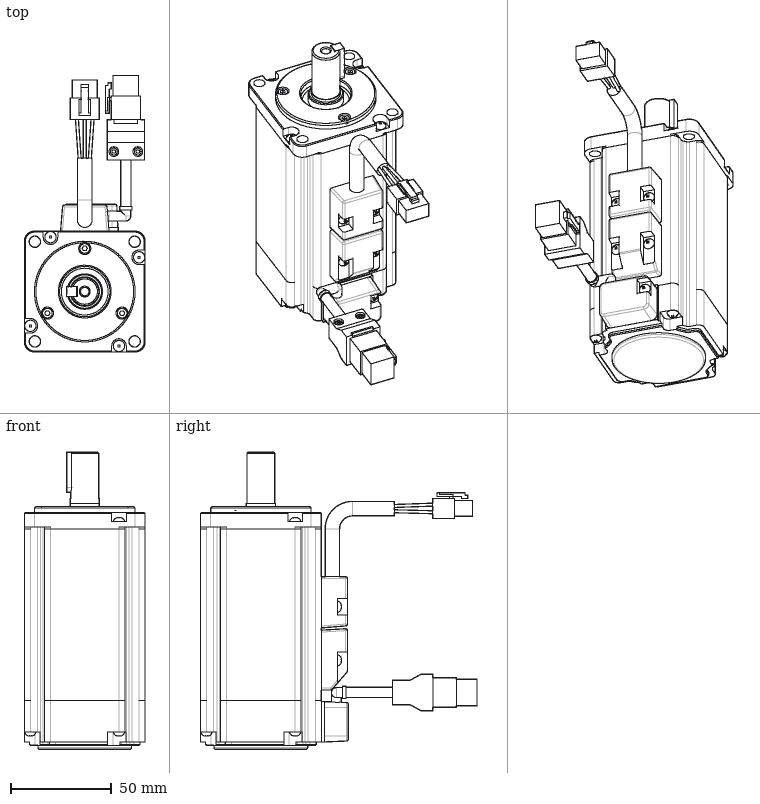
import cadquery as cq
import math

OVERLAP = 0.5

SHAFT_RADIUS = 7.0
SHAFT_LENGTH = 30.0
SHAFT_CHAMFER = 0.7
CENTRE_BORE_RADIUS = 2.1
CENTRE_BORE_MOUTH = 2.7
CENTRE_BORE_DEPTH = 8.0
CENTRE_BORE_TIP = 1.2
KEY_WIDTH = 5.0
KEY_INNER_X = -4.0
KEY_OUTER_X = -9.0
KEY_LENGTH = 20.0
KEYWAY_CLEARANCE = 0.35

FLANGE_SIZE = 60.0
FLANGE_THICKNESS = 7.3
FLANGE_CORNER = 5.0
FLANGE_CHAMFER = 0.5
MOUNT_HOLE_RADIUS = 2.75
MOUNT_HOLE_OFFSET = 24.75
PILOT_RADIUS = 25.0
PILOT_HEIGHT = 3.0
PILOT_CHAMFER = 0.75
PILOT_SCREW_CIRCLE = 21.4
PILOT_SCREW_ANGLES = (90, 210, 330)
PILOT_SCREW_RECESS = 3.0
PILOT_SCREW_HEAD = 2.4
PILOT_SCREW_DEPTH = 2.0
PILOT_HEAD_HEIGHT = 1.5
HEX_SOCKET_ACROSS = 2.6
HEX_SOCKET_DEPTH = 1.2

RECESS_RADIUS = 12.5
RECESS_DEPTH = 4.5
RECESS_MOUTH_CHAMFER = 0.6
RECESS_FLOOR_CHAMFER = 0.9
COLLAR_RADIUS = 8.8
COLLAR_CHAMFER = 0.5
LIP_RADIUS = 7.3
LIP_HEIGHT = 1.5

FRAME_SIZE = 60.03
CAP_SIZE = FLANGE_SIZE
NECK_BOTTOM = -8.2
FRAME_BOTTOM = -93.4
CAP_BOTTOM = -114.0
FACE_HALF_WIDTH = 17.0
NOTCH_WALL = 20.0
NOTCH_DIAGONAL = 42.5
NOTCH_FILLET = 2.2

PLATE_INSET = 2.5
PLATE_BOTTOM = -115.6
PLATE_CHAMFER = 0.5
DISC_RADIUS = 23.3
DISC_BOTTOM = 30.0 - 147.6
DISC_FILLET = 1.0

SCREW_X = 17.0
SCREW_Y = -27.0
SCREW_HEAD_RADIUS = 2.8
SCREW_HEAD_HEIGHT = 2.0
SCREW_SOCKET = 1.0
SCREW_SOCKET_DEPTH = 0.6
FLANGE_POCKET_RADIUS = 3.6
FLANGE_POCKET_DEPTH = 4.5
CAP_POCKET_TOP = -109.0
CAP_POCKET_LEFT = 11.4
CAP_POCKET_INNER_Y = -22.2
CAP_POCKET_CORNER = 2.5

WALL_Y = FLANGE_SIZE / 2
COVER_TOP_Y = 43.0
COVER_BASE_HALF_WIDTH = 12.1
COVER_TOP_HALF_WIDTH = 11.0
COVER_FILLET = 1.0
UPPER_COVER_TOP = -31.8
UPPER_COVER_BOTTOM_OUTER = -56.3
UPPER_COVER_BOTTOM_INNER = -57.4
LOWER_COVER_TOP_OUTER = -57.6
LOWER_COVER_TOP_INNER = -58.4
LOWER_COVER_BOTTOM = -88.2
LOWER_COVER_SLOPE_Z = -79.0
LOWER_COVER_SLOPE_Y = 35.0
COVER_POCKET_FLOOR_Y = 38.0
COVER_POCKET_DEPTH_X = 6.5
COVER_POCKET_HEIGHT = 8.2
UPPER_POCKET_Z = -46.8
LOWER_POCKET_TOP = -69.3
COVER_SCREW_X = 8.4

ENCODER_LEFT = -10.4
ENCODER_RIGHT = 16.5
ENCODER_TOP = -93.8
ENCODER_BOTTOM = CAP_BOTTOM
ENCODER_BASE_Y = 31.7
ENCODER_OUTER_Y = 43.4
ENCODER_TAPER = 2.5
ENCODER_CORNER = 3.0
ENCODER_FILLET = 1.0
ENCODER_BASE_MARGIN = 0.2
ENCODER_POCKET_TOP = -96.0
ENCODER_POCKET_BOTTOM = -104.2
ENCODER_POCKET_FLOOR_Y = 39.3

POWER_CABLE_RADIUS = 3.65
POWER_CABLE_Y = 35.5
POWER_CABLE_Z = 1.9
POWER_BEND_RADIUS = 10.0
POWER_CABLE_END_Y = 66.3
WIRE_RADIUS = 0.8
WIRE_START_SPREAD = 2.5
WIRE_END_SPREAD = 3.9
WIRE_START_RISE = 1.3
WIRE_END_RISE = 1.9
WIRES = ((-1, 1), (0, 1), (1, 1), (-1, -1))

POWER_PLUG_Y = 85.3
POWER_PLUG_STEP_Y = 96.2
POWER_PLUG_END_Y = 105.1
POWER_PLUG_Z = 2.0
POWER_PLUG_REAR = (14.4, 10.0)
POWER_PLUG_FRONT = (12.5, 8.0)

ENCODER_CABLE_X = 20.4
ENCODER_CABLE_Y = 37.5
ENCODER_CABLE_Z = -89.35
ENCODER_EXIT_X = 12.0
ELBOW_RADIUS = 2.5
ENCODER_CABLE_RADIUS = 2.6
SLEEVE_RADIUS = 3.1
SLEEVE_START_Y = 40.4
SLEEVE_END_Y = 42.3

SHELL_WIDTH = 18.6
SHELL_START_Y = 65.3
SHELL_NECK_END_Y = 74.0
SHELL_FULL_START_Y = 79.5
SHELL_END_Y = 85.4
SHELL_NECK_HALF = 6.1
SHELL_FULL_HALF = 9.1
SHELL_NOTCH_WIDTH = 11.8
SHELL_NOTCH_LENGTH = 2.0
SHELL_NOTCH_DEPTH = 0.8
SHELL_SCREW_SPACING = 11.9
SHELL_SCREW_Y = 69.5
SHELL_SCREW_RECESS = 2.4
SHELL_SCREW_HEAD = 1.7
SHELL_SCREW_DEPTH = 1.2
SHELL_HEAD_HEIGHT = 0.6
SHELL_HEX_ACROSS = 1.9
ENCODER_PLUG_STEP_Y = 97.1
ENCODER_PLUG_END_Y = 137.34 - FRAME_SIZE / 2
ENCODER_PLUG_REAR = (14.6, 14.8)
ENCODER_PLUG_FRONT = (12.8, 13.3)

LATCH_STEM_HALF = 0.9
LATCH_TAIL = -7.1
LATCH_TAIL_FRONT = -5.8
LATCH_WIDE_END = 0.9
LATCH_ARM_END = 6.9
LATCH_HOOK_START = 5.0
LATCH_HOOK_END = 8.2
LATCH_HOOK_BOTTOM = -0.1
LATCH_HOOK_TOP = 1.6
LATCH_BOTTOM = 0.9
LATCH_WIDE_TOP = 1.8
LATCH_TOP = 2.9
LATCH_ARM_HALF_WIDTH = 1.8
LATCH_WIDE_HALF_WIDTH = 2.8
POWER_LATCH_Y = 94.5
ENCODER_LATCH_Y = 95.5


def box_between(x_range, y_range, z_range):
    size = [high - low for low, high in (x_range, y_range, z_range)]
    return cq.Workplane("XY").box(*size, centered=False).translate((x_range[0], y_range[0], z_range[0]))


def rod(start, end, radius):
    """Round rod from one point to another."""
    axis = cq.Vector(*end) - cq.Vector(*start)
    return cq.Workplane(cq.Solid.makeCylinder(radius, axis.Length, cq.Vector(*start), axis))


def quarter_turns(shape):
    """The shape and its three copies a quarter turn apart about the shaft."""
    copies = shape
    for turn in (1, 2, 3):
        copies = copies.union(shape.rotate((0, 0, 0), (0, 0, 1), 90 * turn))
    return copies


def pan_head():
    """Domed screw head on Z = 0 with a square socket in its crown."""
    crown_x = SCREW_HEAD_RADIUS * math.sin(math.pi / 4)
    crown_z = SCREW_HEAD_HEIGHT * math.cos(math.pi / 4)
    dome = (
        cq.Workplane("XZ")
        .moveTo(0, -OVERLAP)
        .lineTo(SCREW_HEAD_RADIUS, -OVERLAP)
        .lineTo(SCREW_HEAD_RADIUS, 0)
        .threePointArc((crown_x, crown_z), (0, SCREW_HEAD_HEIGHT))
        .close()
        .revolve(360, (0, 0, 0), (0, 1, 0))
    )
    socket = (
        cq.Workplane("XY", origin=(0, 0, SCREW_HEAD_HEIGHT - SCREW_SOCKET_DEPTH))
        .rect(SCREW_SOCKET, SCREW_SOCKET)
        .extrude(SCREW_HEAD_HEIGHT)
    )
    return dome.cut(socket)


def socket_head(radius, height, hex_across, hex_depth):
    """Cylindrical screw head on Z = 0 with a hexagon socket."""
    head = cq.Workplane("XY", origin=(0, 0, -OVERLAP)).circle(radius).extrude(height + OVERLAP)
    return head.faces(">Z").workplane().polygon(6, hex_across).cutBlind(-hex_depth)


def frame_section(size, top, bottom, inset=0.0):
    """Square prism with notched corners; the inset shifts the whole outline inwards."""
    half = size / 2 - inset
    wall = NOTCH_WALL - inset
    round_start = FACE_HALF_WIDTH - inset
    round_radius = wall - round_start
    notch_x = NOTCH_DIAGONAL - inset * math.sqrt(2) - wall
    height = top - bottom
    prism = cq.Workplane("XY", origin=(0, 0, bottom)).rect(2 * half, 2 * half).extrude(height)
    notch = (
        cq.Workplane("XY", origin=(0, 0, bottom))
        .polyline([(wall, half), (wall, notch_x), (notch_x, wall), (half, wall), (half, half)])
        .close()
        .extrude(height)
    )
    diagonal_ends = cq.selectors.BoxSelector(
        (wall - OVERLAP, wall - OVERLAP, bottom),
        (notch_x + OVERLAP, notch_x + OVERLAP, top),
    )
    notch = notch.edges("|Z").edges(diagonal_ends).fillet(NOTCH_FILLET)
    rounding = (
        cq.Workplane("XY", origin=(0, 0, bottom))
        .moveTo(round_start, half)
        .radiusArc((wall, half - round_radius), round_radius)
        .lineTo(wall, half)
        .close()
        .extrude(height)
    )
    mirrored = rounding.rotate((0, 0, 0), (1, 1, 0), 180).translate((0, 0, top + bottom))
    corner = notch.union(rounding).union(mirrored)
    return prism.cut(quarter_turns(corner))


def flange():
    plate = (
        cq.Workplane("XY", origin=(0, 0, -FLANGE_THICKNESS))
        .rect(FLANGE_SIZE, FLANGE_SIZE)
        .extrude(FLANGE_THICKNESS)
        .edges("|Z")
        .fillet(FLANGE_CORNER)
        .faces(">Z")
        .chamfer(FLANGE_CHAMFER)
    )
    pilot = (
        cq.Workplane("XY", origin=(0, 0, -OVERLAP))
        .circle(PILOT_RADIUS)
        .extrude(PILOT_HEIGHT + OVERLAP)
        .faces(">Z")
        .chamfer(PILOT_CHAMFER)
    )
    holes = (
        cq.Workplane("XY", origin=(0, 0, -FLANGE_THICKNESS))
        .rect(2 * MOUNT_HOLE_OFFSET, 2 * MOUNT_HOLE_OFFSET, forConstruction=True)
        .vertices()
        .circle(MOUNT_HOLE_RADIUS)
        .extrude(FLANGE_THICKNESS)
    )
    return plate.cut(holes).union(pilot)


def add_pilot_screws(body):
    floor_z = PILOT_HEIGHT - PILOT_SCREW_DEPTH
    head = socket_head(PILOT_SCREW_HEAD, PILOT_HEAD_HEIGHT, HEX_SOCKET_ACROSS, HEX_SOCKET_DEPTH)
    for angle in PILOT_SCREW_ANGLES:
        x = PILOT_SCREW_CIRCLE * math.cos(math.radians(angle))
        y = PILOT_SCREW_CIRCLE * math.sin(math.radians(angle))
        body = body.cut(rod((x, y, floor_z), (x, y, PILOT_HEIGHT), PILOT_SCREW_RECESS))
        body = body.union(head.translate((x, y, floor_z)))
    return body


def seal_recess():
    """Chamfered round recess left open around the seal collar."""
    mouth = PILOT_HEIGHT
    floor_z = PILOT_HEIGHT - RECESS_DEPTH
    return (
        cq.Workplane("XZ")
        .polyline([
            (COLLAR_RADIUS, floor_z),
            (RECESS_RADIUS - RECESS_FLOOR_CHAMFER, floor_z),
            (RECESS_RADIUS, floor_z + RECESS_FLOOR_CHAMFER),
            (RECESS_RADIUS, mouth - RECESS_MOUTH_CHAMFER),
            (RECESS_RADIUS + RECESS_MOUTH_CHAMFER, mouth),
            (COLLAR_RADIUS - COLLAR_CHAMFER, mouth),
            (COLLAR_RADIUS, mouth - COLLAR_CHAMFER),
        ])
        .close()
        .revolve(360, (0, 0, 0), (0, 1, 0))
    )


def key_blank(inner_x):
    """Key outline, round at its lower end, from inner_x out to the outer face of the key."""
    half = KEY_WIDTH / 2
    bottom = SHAFT_LENGTH - KEY_LENGTH
    return (
        cq.Workplane("YZ", origin=(KEY_OUTER_X, 0, 0))
        .moveTo(-half, SHAFT_LENGTH)
        .lineTo(-half, bottom + half)
        .threePointArc((0, bottom), (half, bottom + half))
        .lineTo(half, SHAFT_LENGTH)
        .close()
        .extrude(inner_x - KEY_OUTER_X)
    )


def shaft():
    lip_top = PILOT_HEIGHT + LIP_HEIGHT
    bore_mouth_depth = CENTRE_BORE_MOUTH - CENTRE_BORE_RADIUS
    bar = rod((0, 0, 0), (0, 0, SHAFT_LENGTH), SHAFT_RADIUS).faces(">Z").chamfer(SHAFT_CHAMFER)
    bore = (
        cq.Workplane("XZ", origin=(0, 0, SHAFT_LENGTH))
        .polyline([
            (0, 0),
            (CENTRE_BORE_MOUTH, 0),
            (CENTRE_BORE_RADIUS, -bore_mouth_depth),
            (CENTRE_BORE_RADIUS, -CENTRE_BORE_DEPTH),
            (0, -CENTRE_BORE_DEPTH - CENTRE_BORE_TIP),
        ])
        .close()
        .revolve(360, (0, 0, 0), (0, 1, 0))
    )
    lip = rod((0, 0, 0), (0, 0, lip_top), LIP_RADIUS)
    return bar.union(lip).cut(bore).cut(key_blank(KEY_INNER_X + KEYWAY_CLEARANCE))


def end_plate():
    plate = frame_section(CAP_SIZE, CAP_BOTTOM, PLATE_BOTTOM, PLATE_INSET)
    plate = plate.faces("<Z").chamfer(PLATE_CHAMFER)
    disc = rod((0, 0, CAP_BOTTOM), (0, 0, DISC_BOTTOM), DISC_RADIUS).faces("<Z").edges().fillet(DISC_FILLET)
    return plate.union(disc)


def add_frame_screws(body):
    """Screw heads in open pockets of the flange and of the cap with its end plate."""
    edge_y = -FRAME_SIZE / 2
    flange_floor = -FLANGE_POCKET_DEPTH
    flange_pocket = rod((SCREW_X, SCREW_Y, flange_floor), (SCREW_X, SCREW_Y, 0), FLANGE_POCKET_RADIUS).union(
        box_between(
            (SCREW_X - FLANGE_POCKET_RADIUS, SCREW_X + FLANGE_POCKET_RADIUS),
            (edge_y, SCREW_Y),
            (flange_floor, 0),
        )
    )
    cap_pocket = (
        box_between(
            (CAP_POCKET_LEFT, NOTCH_WALL + OVERLAP),
            (edge_y, CAP_POCKET_INNER_Y),
            (PLATE_BOTTOM, CAP_POCKET_TOP),
        )
        .edges("|Z and <X and >Y")
        .fillet(CAP_POCKET_CORNER)
    )
    body = body.cut(quarter_turns(flange_pocket)).cut(quarter_turns(cap_pocket))
    flange_head = pan_head().translate((SCREW_X, SCREW_Y, flange_floor))
    cap_head = pan_head().rotate((0, 0, 0), (1, 0, 0), 180).translate((SCREW_X, SCREW_Y, CAP_POCKET_TOP))
    return body.union(quarter_turns(flange_head)).union(quarter_turns(cap_head))


def drafted_cover(side_outline):
    """Cover with the given (Y, Z) side outline, narrowing outwards, with rounded edges."""
    base_y = WALL_Y - OVERLAP
    plan = (
        cq.Workplane("XY", origin=(0, 0, LOWER_COVER_BOTTOM))
        .polyline([
            (-COVER_BASE_HALF_WIDTH, base_y),
            (COVER_BASE_HALF_WIDTH, base_y),
            (COVER_TOP_HALF_WIDTH, COVER_TOP_Y),
            (-COVER_TOP_HALF_WIDTH, COVER_TOP_Y),
        ])
        .close()
        .extrude(UPPER_COVER_TOP - LOWER_COVER_BOTTOM)
    )
    side = (
        cq.Workplane("YZ", origin=(-COVER_BASE_HALF_WIDTH, 0, 0))
        .polyline(side_outline)
        .close()
        .extrude(2 * COVER_BASE_HALF_WIDTH)
    )
    return plan.intersect(side).edges("not <Y").fillet(COVER_FILLET)


def add_cover_screws(cover, pocket_bottom, pocket_top, screw_z):
    """Side pockets with screw heads facing +Y, on both sides of a cover."""
    pocket_inner_x = COVER_BASE_HALF_WIDTH - COVER_POCKET_DEPTH_X
    y_range = (COVER_POCKET_FLOOR_Y, COVER_TOP_Y)
    for side in (-1, 1):
        x_range = sorted((side * COVER_BASE_HALF_WIDTH, side * pocket_inner_x))
        cover = cover.cut(box_between(x_range, y_range, (pocket_bottom, pocket_top)))
        head = pan_head().rotate((0, 0, 0), (1, 0, 0), -90)
        cover = cover.union(head.translate((side * COVER_SCREW_X, COVER_POCKET_FLOOR_Y, screw_z)))
    return cover


def upper_cover():
    base_y = WALL_Y - OVERLAP
    cover = drafted_cover([
        (base_y, UPPER_COVER_TOP),
        (COVER_TOP_Y, UPPER_COVER_TOP),
        (COVER_TOP_Y, UPPER_COVER_BOTTOM_OUTER),
        (base_y, UPPER_COVER_BOTTOM_INNER),
    ])
    half = COVER_POCKET_HEIGHT / 2
    return add_cover_screws(cover, UPPER_POCKET_Z - half, UPPER_POCKET_Z + half, UPPER_POCKET_Z)


def lower_cover():
    base_y = WALL_Y - OVERLAP
    cover = drafted_cover([
        (base_y, LOWER_COVER_TOP_INNER),
        (COVER_TOP_Y, LOWER_COVER_TOP_OUTER),
        (COVER_TOP_Y, LOWER_COVER_SLOPE_Z),
        (LOWER_COVER_SLOPE_Y, LOWER_COVER_BOTTOM),
        (base_y, LOWER_COVER_BOTTOM),
    ])
    screw_z = LOWER_POCKET_TOP - COVER_POCKET_HEIGHT / 2
    return add_cover_screws(cover, LOWER_COVER_BOTTOM, LOWER_POCKET_TOP, screw_z)


def encoder_box():
    width = ENCODER_RIGHT - ENCODER_LEFT
    height = ENCODER_TOP - ENCODER_BOTTOM
    middle_x = (ENCODER_RIGHT + ENCODER_LEFT) / 2
    middle_z = (ENCODER_TOP + ENCODER_BOTTOM) / 2
    box = (
        cq.Workplane("XZ", origin=(middle_x, ENCODER_BASE_Y - OVERLAP, middle_z))
        .sketch()
        .rect(width, height)
        .vertices()
        .fillet(ENCODER_CORNER)
        .finalize()
        .extrude(-(ENCODER_OUTER_Y - ENCODER_BASE_Y + OVERLAP), taper=ENCODER_TAPER)
        .faces(">Y")
        .edges()
        .fillet(ENCODER_FILLET)
    )
    base = box_between(
        (ENCODER_LEFT - ENCODER_BASE_MARGIN, ENCODER_RIGHT + ENCODER_BASE_MARGIN),
        (WALL_Y - OVERLAP, ENCODER_BASE_Y),
        (ENCODER_BOTTOM, ENCODER_TOP),
    )
    pocket = box_between(
        (ENCODER_LEFT, ENCODER_LEFT + COVER_POCKET_DEPTH_X),
        (ENCODER_POCKET_FLOOR_Y, ENCODER_OUTER_Y),
        (ENCODER_POCKET_BOTTOM, ENCODER_POCKET_TOP),
    )
    head_x = ENCODER_LEFT + COVER_BASE_HALF_WIDTH - COVER_SCREW_X
    head_z = (ENCODER_POCKET_BOTTOM + ENCODER_POCKET_TOP) / 2
    head = pan_head().rotate((0, 0, 0), (1, 0, 0), -90).translate((head_x, ENCODER_POCKET_FLOOR_Y, head_z))
    return box.union(base).cut(pocket).union(head)


def latch():
    """Spring latch along Y on a plug face at Z = 0, with its stem at Y = 0."""
    def piece(half_width, y_range, z_range):
        return box_between((-half_width, half_width), y_range, z_range)

    stem = piece(LATCH_ARM_HALF_WIDTH, (-LATCH_STEM_HALF, LATCH_STEM_HALF), (-OVERLAP, LATCH_TOP))
    arm = piece(LATCH_ARM_HALF_WIDTH, (LATCH_TAIL, LATCH_ARM_END), (LATCH_WIDE_TOP, LATCH_TOP))
    spring = piece(LATCH_WIDE_HALF_WIDTH, (LATCH_TAIL, LATCH_WIDE_END), (LATCH_BOTTOM, LATCH_WIDE_TOP))
    tail = piece(LATCH_WIDE_HALF_WIDTH, (LATCH_TAIL, LATCH_TAIL_FRONT), (LATCH_BOTTOM, LATCH_TOP))
    tip = piece(LATCH_ARM_HALF_WIDTH, (LATCH_WIDE_END, LATCH_ARM_END), (LATCH_BOTTOM, LATCH_TOP))
    hook = piece(
        LATCH_ARM_HALF_WIDTH,
        (LATCH_HOOK_START, LATCH_HOOK_END),
        (LATCH_HOOK_BOTTOM, LATCH_HOOK_TOP),
    )
    return stem.union(arm).union(spring).union(tail).union(tip).union(hook)


def plug(centre_x, centre_z, rear_size, front_size, start_y, step_y, end_y):
    """Two-stage rectangular plug pointing along +Y."""
    stages = ((rear_size, start_y, step_y), (front_size, step_y - OVERLAP, end_y))
    body = None
    for (width, height), near_y, far_y in stages:
        block = box_between(
            (centre_x - width / 2, centre_x + width / 2),
            (near_y, far_y),
            (centre_z - height / 2, centre_z + height / 2),
        )
        body = block if body is None else body.union(block)
    return body


def power_cable():
    bend_start_z = POWER_CABLE_Z - POWER_BEND_RADIUS
    bend_end_y = POWER_CABLE_Y + POWER_BEND_RADIUS
    diagonal = POWER_BEND_RADIUS * (1 - math.sin(math.pi / 4))
    path = (
        cq.Workplane("YZ")
        .moveTo(POWER_CABLE_Y, UPPER_COVER_TOP - OVERLAP)
        .lineTo(POWER_CABLE_Y, bend_start_z)
        .threePointArc((POWER_CABLE_Y + diagonal, POWER_CABLE_Z - diagonal), (bend_end_y, POWER_CABLE_Z))
        .lineTo(POWER_CABLE_END_Y, POWER_CABLE_Z)
    )
    cable = (
        cq.Workplane("XY", origin=(0, POWER_CABLE_Y, UPPER_COVER_TOP - OVERLAP))
        .circle(POWER_CABLE_RADIUS)
        .sweep(path)
    )
    for column, row in WIRES:
        start_z = POWER_CABLE_Z + row * WIRE_START_RISE
        end_z = POWER_PLUG_Z + row * WIRE_END_RISE
        start = (column * WIRE_START_SPREAD, POWER_CABLE_END_Y - OVERLAP, start_z)
        end = (column * WIRE_END_SPREAD, POWER_PLUG_Y + OVERLAP, end_z)
        cable = cable.union(rod(start, end, WIRE_RADIUS))
    return cable


def power_connector():
    body = plug(
        0, POWER_PLUG_Z, POWER_PLUG_REAR, POWER_PLUG_FRONT,
        POWER_PLUG_Y, POWER_PLUG_STEP_Y, POWER_PLUG_END_Y,
    )
    face_z = POWER_PLUG_Z + POWER_PLUG_REAR[1] / 2
    return body.union(latch().translate((0, POWER_LATCH_Y, face_z)))


def encoder_cable():
    """Cable leaving the box upwards, turning to +X and then to +Y."""
    exit_low = (ENCODER_EXIT_X, ENCODER_CABLE_Y, ENCODER_TOP - 2 * OVERLAP)
    first_turn = (ENCODER_EXIT_X, ENCODER_CABLE_Y, ENCODER_CABLE_Z)
    second_turn = (ENCODER_CABLE_X, ENCODER_CABLE_Y, ENCODER_CABLE_Z)

    def along(y):
        return (ENCODER_CABLE_X, y, ENCODER_CABLE_Z)

    cable = rod(exit_low, first_turn, ELBOW_RADIUS)
    cable = cable.union(rod(first_turn, second_turn, ELBOW_RADIUS))
    cable = cable.union(rod(second_turn, along(SLEEVE_END_Y), ELBOW_RADIUS))
    for turn in (first_turn, second_turn):
        cable = cable.union(cq.Workplane("XY").sphere(ELBOW_RADIUS).translate(turn))
    cable = cable.union(rod(along(SLEEVE_START_Y), along(SLEEVE_END_Y), SLEEVE_RADIUS))
    return cable.union(rod(along(SLEEVE_START_Y), along(SHELL_START_Y + OVERLAP), ENCODER_CABLE_RADIUS))


def encoder_shell():
    left = ENCODER_CABLE_X - SHELL_WIDTH / 2
    upper_outline = [
        (SHELL_START_Y, SHELL_NECK_HALF),
        (SHELL_NECK_END_Y, SHELL_NECK_HALF),
        (SHELL_FULL_START_Y, SHELL_FULL_HALF),
        (SHELL_END_Y, SHELL_FULL_HALF),
    ]
    lower_outline = [(y, -z) for y, z in reversed(upper_outline)]
    shell = (
        cq.Workplane("YZ", origin=(left, 0, ENCODER_CABLE_Z))
        .polyline(upper_outline + lower_outline)
        .close()
        .extrude(SHELL_WIDTH)
    )
    shell_top = ENCODER_CABLE_Z + SHELL_FULL_HALF
    neck_top = ENCODER_CABLE_Z + SHELL_NECK_HALF
    shell = shell.cut(box_between(
        (ENCODER_CABLE_X - SHELL_NOTCH_WIDTH / 2, ENCODER_CABLE_X + SHELL_NOTCH_WIDTH / 2),
        (SHELL_END_Y - SHELL_NOTCH_LENGTH, SHELL_END_Y),
        (shell_top - SHELL_NOTCH_DEPTH, shell_top),
    ))
    floor_z = neck_top - SHELL_SCREW_DEPTH
    head = socket_head(SHELL_SCREW_HEAD, SHELL_HEAD_HEIGHT, SHELL_HEX_ACROSS, SHELL_HEAD_HEIGHT)
    for side in (-1, 1):
        x = ENCODER_CABLE_X + side * SHELL_SCREW_SPACING / 2
        shell = shell.cut(rod((x, SHELL_SCREW_Y, floor_z), (x, SHELL_SCREW_Y, neck_top), SHELL_SCREW_RECESS))
        shell = shell.union(head.translate((x, SHELL_SCREW_Y, floor_z)))
    return shell


def encoder_connector():
    body = plug(
        ENCODER_CABLE_X, ENCODER_CABLE_Z, ENCODER_PLUG_REAR, ENCODER_PLUG_FRONT,
        SHELL_END_Y - OVERLAP, ENCODER_PLUG_STEP_Y, ENCODER_PLUG_END_Y,
    )
    face_x = ENCODER_CABLE_X - ENCODER_PLUG_REAR[0] / 2
    side_latch = latch().rotate((0, 0, 0), (0, 1, 0), -90)
    return body.union(encoder_shell()).union(side_latch.translate((face_x, ENCODER_LATCH_Y, ENCODER_CABLE_Z)))


def motor_body():
    body = flange()
    body = body.union(frame_section(CAP_SIZE, -FLANGE_THICKNESS, NECK_BOTTOM))
    body = body.union(frame_section(FRAME_SIZE, NECK_BOTTOM, FRAME_BOTTOM))
    body = body.union(frame_section(CAP_SIZE, FRAME_BOTTOM, CAP_BOTTOM))
    body = body.union(end_plate())
    body = add_frame_screws(body)
    body = add_pilot_screws(body)
    body = body.cut(seal_recess()).union(shaft())
    for cover in (upper_cover(), lower_cover(), encoder_box()):
        body = body.union(cover)
    for tail in (power_cable(), power_connector(), encoder_cable(), encoder_connector()):
        body = body.union(tail)
    return body


motor = motor_body()
key = key_blank(KEY_INNER_X)

result = cq.Compound.makeCompound([motor.solids().val(), key.val()])